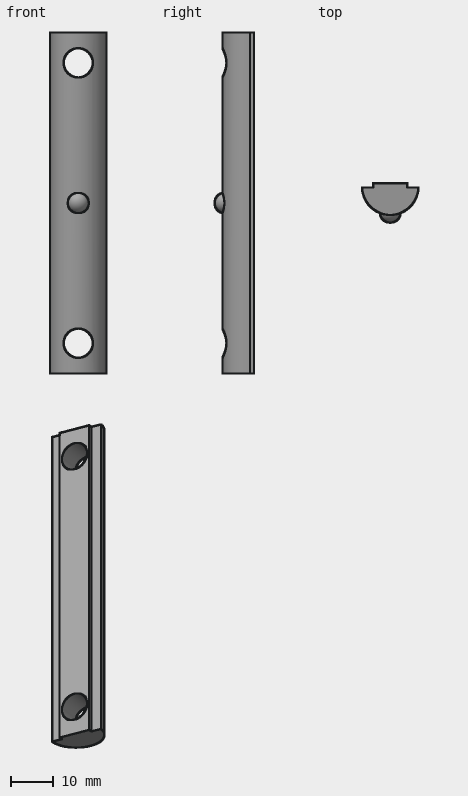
import cadquery as cq
import math

length = 80.0
round_radius = 6.6
round_depth = 6.5
rail_width = 8.0
rail_height = 1.0

hole_diameter = 6.8
hole_end_distance = 7.1

ball_radius = 2.5
ball_protrusion = 1.8

crown_y = -round_radius
shoulder_y = crown_y + round_depth
rail_y = shoulder_y + rail_height
shoulder_half_width = math.sqrt(round_radius**2 - shoulder_y**2)


def make_bar():
    """Half-round bar with a raised flat rail along its back."""
    half_rail = rail_width / 2
    return (
        cq.Workplane("XY", origin=(0, 0, -length / 2))
        .moveTo(-shoulder_half_width, shoulder_y)
        .threePointArc((0, crown_y), (shoulder_half_width, shoulder_y))
        .lineTo(half_rail, shoulder_y)
        .lineTo(half_rail, rail_y)
        .lineTo(-half_rail, rail_y)
        .lineTo(-half_rail, shoulder_y)
        .close()
        .extrude(length)
    )


def make_holes():
    """Cutting cylinders for the two end holes."""
    hole_z = length / 2 - hole_end_distance
    return (
        cq.Workplane("XZ", origin=(0, rail_y, 0))
        .pushPoints([(0, hole_z), (0, -hole_z)])
        .circle(hole_diameter / 2)
        .extrude(rail_y - crown_y)
    )


def make_ball():
    """Ball standing out of the crown of the round side."""
    ball_y = crown_y - ball_protrusion + ball_radius
    return cq.Workplane("XY").sphere(ball_radius).translate((0, ball_y, 0))


result = make_bar().cut(make_holes()).union(make_ball())